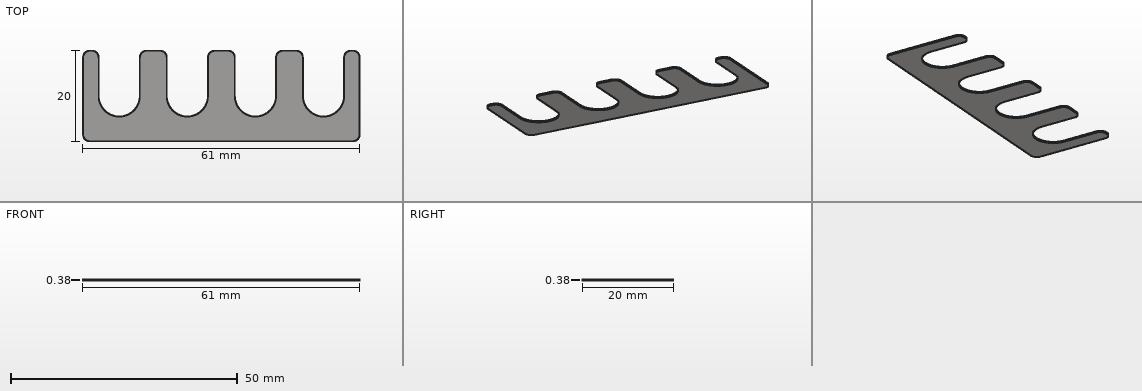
import cadquery as cq

length = 61.0
width = 20.0
thickness = 0.38
slot_count = 4
slot_pitch = 15.0
slot_width = 9.0
slot_depth = 14.5
corner_radius = 1.5

slot_radius = slot_width / 2
back_edge = width / 2
slot_center_y = back_edge - slot_depth + slot_radius


def open_slot(center_x):
    """Cutter for a round-bottomed slot that opens through the +Y edge."""
    left = center_x - slot_radius
    right = center_x + slot_radius
    return (
        cq.Workplane("XY")
        .moveTo(left, back_edge)
        .lineTo(left, slot_center_y)
        .threePointArc((center_x, slot_center_y - slot_radius), (right, slot_center_y))
        .lineTo(right, back_edge)
        .close()
        .extrude(thickness)
    )


plate = cq.Workplane("XY").rect(length, width).extrude(thickness)
for index in range(slot_count):
    plate = plate.cut(open_slot((index - (slot_count - 1) / 2) * slot_pitch))

tip_corners = plate.faces(">Y").edges("|Z")
front_corners = plate.faces("<Y").edges("|Z")
result = plate.newObject(tip_corners.vals() + front_corners.vals()).fillet(corner_radius)